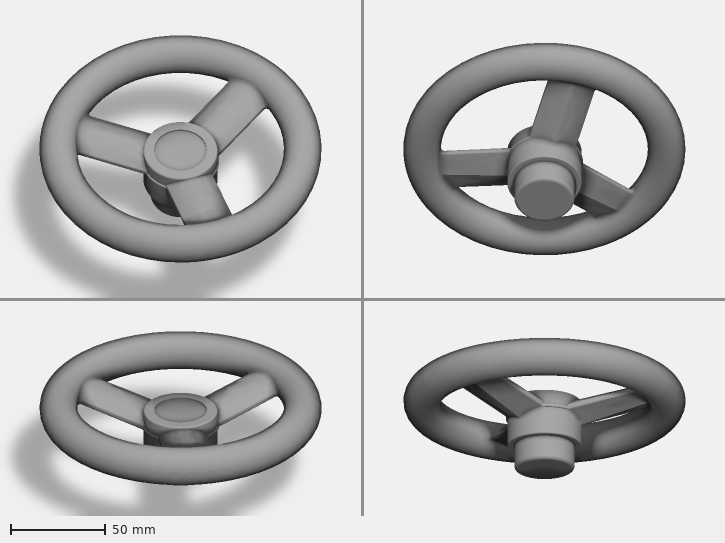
import cadquery as cq
import math

RIM_OUTER_DIAMETER = 150
RIM_TUBE_DIAMETER = 20
OVERALL_HEIGHT = 49
RIM_TUBE_RADIUS = RIM_TUBE_DIAMETER / 2
RIM_CENTRE_RADIUS = RIM_OUTER_DIAMETER / 2 - RIM_TUBE_RADIUS
RIM_CENTRE_HEIGHT = OVERALL_HEIGHT - RIM_TUBE_RADIUS

SHANK_DIAMETER = 32
SHANK_HEIGHT = 13
SHANK_FILLET = 1.9
HUB_DIAMETER = 39.5
HUB_TOP_HEIGHT = 38
HUB_BOTTOM_FILLET = 0.7
HUB_TOP_FILLET = 1.0
HUB_SPLIT_HEIGHT = 29.2
RECESS_DIAMETER = 28
RECESS_DEPTH = 1

COLLAR_DIAMETER = 41
COLLAR_BOTTOM_HEIGHT = 28.0
COLLAR_THICKNESS = 2
COLLAR_FILLET = 0.7

SPOKE_COUNT = 3
SPOKE_WIDTH = 25.8
SPOKE_START = 5
SPOKE_END = 60
SPOKE_EDGE_SLOPE = math.tan(math.radians(10.6))
SPOKE_CROWN_SLOPE = math.tan(math.radians(8.9))
SPOKE_KEEL_SLOPE = math.tan(math.radians(15))
SPOKE_EDGE_THICKNESS = 2.5
KEEL_HEIGHT_AT_HUB = 23.6
EDGE_HEIGHT_AT_HUB = 29.2
CROWN_HEIGHT_AT_HUB = 36.9
SPOKE_EDGE_FILLET = 1.0
RIM_JOINT_FILLET = 1.9
KEEL_JOINT_FILLET = 0.8

TOLERANCE = 0.01


def turn_seam(round_body):
    """Turn a round body so that its surface seam lies midway between two spokes."""
    return round_body.rotate((0, 0, 0), (0, 0, 1), 180 / SPOKE_COUNT)


def make_rim():
    rim = (
        cq.Workplane("XZ")
        .center(RIM_CENTRE_RADIUS, RIM_CENTRE_HEIGHT)
        .circle(RIM_TUBE_RADIUS)
        .revolve(360, (-RIM_CENTRE_RADIUS, 0), (-RIM_CENTRE_RADIUS, 1))
    )
    return turn_seam(rim)


def make_shank():
    shank = cq.Workplane("XY").circle(SHANK_DIAMETER / 2).extrude(SHANK_HEIGHT)
    return shank.faces("<Z").edges().fillet(SHANK_FILLET)


def hub_cylinder(bottom, top):
    return cq.Workplane("XY").workplane(offset=bottom).circle(HUB_DIAMETER / 2).extrude(top - bottom)


def make_lower_hub():
    lower = hub_cylinder(SHANK_HEIGHT, HUB_SPLIT_HEIGHT)
    return lower.faces("<Z").edges().fillet(HUB_BOTTOM_FILLET)


def make_upper_hub():
    upper = hub_cylinder(HUB_SPLIT_HEIGHT, HUB_TOP_HEIGHT)
    return upper.faces(">Z").edges().fillet(HUB_TOP_FILLET)


def make_collar():
    collar = (
        cq.Workplane("XY")
        .workplane(offset=COLLAR_BOTTOM_HEIGHT)
        .circle(COLLAR_DIAMETER / 2)
        .extrude(COLLAR_THICKNESS)
    )
    return collar.edges().fillet(COLLAR_FILLET)


def make_recess():
    return (
        cq.Workplane("XY")
        .workplane(offset=HUB_TOP_HEIGHT - RECESS_DEPTH)
        .circle(RECESS_DIAMETER / 2)
        .extrude(RECESS_DEPTH)
    )


def spoke_section(distance):
    """Closed cross-section of the spoke at a distance along X from the wheel axis."""
    run = distance - HUB_DIAMETER / 2
    half_width = SPOKE_WIDTH / 2
    keel = KEEL_HEIGHT_AT_HUB + run * SPOKE_KEEL_SLOPE
    edge_bottom = EDGE_HEIGHT_AT_HUB + run * SPOKE_EDGE_SLOPE
    edge_top = edge_bottom + SPOKE_EDGE_THICKNESS
    crown = CROWN_HEIGHT_AT_HUB + run * SPOKE_CROWN_SLOPE
    section = (
        cq.Workplane("YZ", origin=(distance, 0, 0))
        .moveTo(0, keel)
        .lineTo(half_width, edge_bottom)
        .lineTo(half_width, edge_top)
        .threePointArc((0, crown), (-half_width, edge_top))
        .lineTo(-half_width, edge_bottom)
        .close()
    )
    return section.val()


def make_spoke():
    sections = [spoke_section(SPOKE_START), spoke_section(SPOKE_END)]
    spoke = cq.Workplane(cq.Solid.makeLoft(sections, True))
    side_faces = spoke.faces("<Y or >Y")
    return side_faces.edges("not #X").edges("not |Z").fillet(SPOKE_EDGE_FILLET)


def make_spokes():
    spoke = make_spoke()
    spokes = spoke
    for index in range(1, SPOKE_COUNT):
        spokes = spokes.union(spoke.rotate((0, 0, 0), (0, 0, 1), index * 360 / SPOKE_COUNT))
    return spokes


def is_rim_joint(edge):
    """True when the edge's midpoint lies on the inner side of the rim's torus surface."""
    point = edge.positionAt(0.5)
    radius = math.hypot(point.x, point.y)
    distance = math.hypot(radius - RIM_CENTRE_RADIUS, point.z - RIM_CENTRE_HEIGHT)
    return abs(distance - RIM_TUBE_RADIUS) < TOLERANCE and radius < RIM_CENTRE_RADIUS


def is_keel_joint(edge):
    """True when the edge runs where a spoke's keel meets the hub."""
    point = edge.positionAt(0.5)
    on_hub = abs(math.hypot(point.x, point.y) - HUB_DIAMETER / 2) < TOLERANCE
    return on_hub and KEEL_HEIGHT_AT_HUB < point.z < HUB_SPLIT_HEIGHT - TOLERANCE


def fillet_edges(body, is_wanted, radius):
    edges = [edge for edge in body.edges().vals() if is_wanted(edge)]
    return body.newObject(edges).fillet(radius)


wheel = make_rim().union(make_spokes())
wheel = fillet_edges(wheel, is_rim_joint, RIM_JOINT_FILLET)

wheel = wheel.union(turn_seam(make_shank().union(make_lower_hub())))
wheel = fillet_edges(wheel, is_keel_joint, KEEL_JOINT_FILLET)

wheel = wheel.union(turn_seam(make_upper_hub().union(make_collar())))
result = wheel.cut(make_recess())